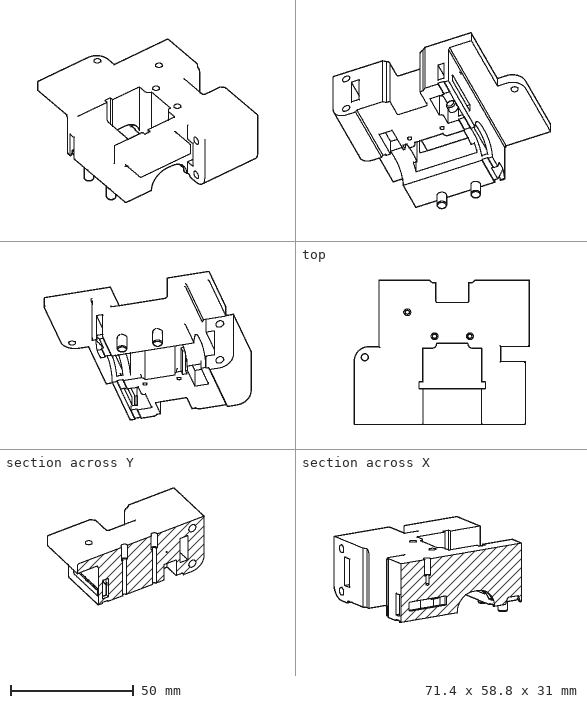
import cadquery as cq

LENGTH = 71.35
DEPTH = 58.8
HEIGHT = 31.0
PLATE_THICKNESS = 5
EDGE_ROUNDING = 0.5
CORNER_FILLET = 1.0
FLARE_DROP = 1.0
FLARE_RUN = 0.5
FLARE_RADIUS = 1.3

BODY_LEFT = 20.2
BODY_RIGHT = 59.7
BODY_HEIGHT = 25
BODY_CENTER = (BODY_LEFT + BODY_RIGHT) / 2

WIDE_PLATE_END = 31.75
WIDE_PLATE_RADIUS = 6.0
REAR_PLATE_LEFT = 10.05
FRONT_PLATE_RIGHT = 69.8
SIDE_SLOT_START = 25.75

BLOCK_HEIGHT = 26.0
BLOCK_RADIUS = 6.0
BLOCK_FOOT_LEFT = 61.35
BLOCK_FOOT_RUN = 0.6
BLOCK_HOLE_DIAMETER = 3.2
BLOCK_HOLE_X = 65.5
BLOCK_HOLE_INSET = 4.0
BLOCK_WINDOW_RIGHT = 63.2
BLOCK_WINDOW_HEIGHT = 12.0

OPENING_WIDTH = 24.0
OPENING_START = 14.6
OPENING_END = 31.05
OPENING_BAY_WIDTH = 12.6
OPENING_BAY_DEPTH = 2.0
EAR_WIDTH = 27.05
EAR_LENGTH = 2.8
RECESS_DEPTH = 10
RELIEF_LEFT = 49.4
RELIEF_WIDTH = 1.8
RELIEF_LENGTH = 2.5

NOTCH_WIDTH = 13.3
NOTCH_START = 49.7
NOTCH_CORNER_RADIUS = 0.5
NOTCH_ROUNDING = 2.0
NOTCH_MOUTH_WIDTH = 18.7
NOTCH_MOUTH_DEPTH = 1.0
NOTCH_MOUTH_SLOPE = 1.2
SELECTION_MARGIN = 0.1

ARCH_CENTER_Y = 22.3
ARCH_WIDTH = 17.85
ARCH_RADIUS = 7.7
ARCH_TOP = 17.1

CHANNEL_LEFT = 22.2
CHANNEL_WIDTH = 2.65
CHANNEL_TOP = 13.4
CHANNEL_BOTTOM = 22.5
CHANNEL_GROOVE_TOP = 24.5
CHANNEL_MOUTH_LENGTH = 1.15
CAVITY_START = 37.4
CAVITY_STEP_Y = 42.9
CAVITY_END = 52.65
CAVITY_SHALLOW_RIGHT = 29.55
CAVITY_DEEP_RIGHT = 31.05
WINDOW_START = 36.75
WINDOW_END = 54.7
WINDOW_TOP = 17.05
WINDOW_HEIGHT = 3.65
WINDOW_CORNER_RADIUS = 0.7
PEG_X = 27.1
PEG_DEPTH = 17.2
PEG_LENGTH = 3.3

RIGHT_CAVITY_RIGHT = 57.7
RIGHT_CAVITY_END = 42.8

RAMP_CENTER_Y = 4.3
RAMP_BASE_LENGTH = 7.2
RAMP_TOP_LENGTH = 3.7
RAMP_HEIGHT = 4.0
RAMP_RUN = 3.3

PIN_DIAMETER = 4.0
PIN_TIP_DIAMETER = 3.5
PIN_SPACING = 15
SCREW_HEAD_DIAMETER = 2.8
SCREW_HEAD_DEPTH = 7.0
SCREW_DIAMETER = 1.65
SCREW_SPACING = 14.4
SCREW_Y = 35.95
BLIND_SCREW_POSITION = (21.7, 45.7)
BLIND_SCREW_DEPTH = 10.7
SCREW_POINT_LENGTH = 0.85
PLATE_HOLE_DIAMETER = 2.8
PLATE_HOLE_POSITION = (4.35, 27.4)


def box(x0, x1, y0, y1, top, bottom):
    """Box between two X and two Y positions, with depths measured down from the top face."""
    return (
        cq.Workplane("XY", origin=((x0 + x1) / 2, (y0 + y1) / 2, -bottom))
        .rect(x1 - x0, y1 - y0)
        .extrude(bottom - top)
    )


def centered_box(width, y0, y1, top, bottom):
    """Box centred on the body along X."""
    return box(BODY_CENTER - width / 2, BODY_CENTER + width / 2, y0, y1, top, bottom)


def drill(diameter, position, top, bottom):
    """Vertical cylinder between two depths."""
    return cq.Workplane("XY", origin=(*position, -bottom)).circle(diameter / 2).extrude(bottom - top)


def make_plate():
    front = box(0, FRONT_PLATE_RIGHT, 0, SIDE_SLOT_START, 0, PLATE_THICKNESS)
    left = box(0, BODY_RIGHT, 0, WIDE_PLATE_END, 0, PLATE_THICKNESS)
    left = left.edges("|Z and <X and >Y").fillet(WIDE_PLATE_RADIUS)
    rear = box(REAR_PLATE_LEFT, LENGTH, WIDE_PLATE_END, DEPTH, 0, PLATE_THICKNESS)
    return left.union(front).union(rear)


def make_block():
    """Deep block on the right rear, with a rounded lower outer corner."""
    return (
        cq.Workplane("XZ", origin=(0, DEPTH, 0))
        .moveTo(BODY_RIGHT - CORNER_FILLET, 0)
        .lineTo(LENGTH, 0)
        .lineTo(LENGTH, BLOCK_RADIUS - BLOCK_HEIGHT)
        .radiusArc((LENGTH - BLOCK_RADIUS, -BLOCK_HEIGHT), BLOCK_RADIUS)
        .lineTo(BLOCK_FOOT_LEFT, -BLOCK_HEIGHT)
        .lineTo(BLOCK_FOOT_LEFT - BLOCK_FOOT_RUN, -BODY_HEIGHT)
        .lineTo(BODY_RIGHT - CORNER_FILLET, -BODY_HEIGHT)
        .close()
        .extrude(DEPTH - WIDE_PLATE_END)
    )


def make_wall_flares():
    """Small concave flares between the plate underside and the outer body walls."""
    spans = ((BODY_LEFT, -1, DEPTH), (BODY_RIGHT, 1, SIDE_SLOT_START))
    flares = cq.Workplane("XY")
    for wall_x, outward, length in spans:
        wedge = (
            cq.Workplane("XZ", origin=(0, length, 0))
            .moveTo(wall_x, -PLATE_THICKNESS)
            .lineTo(wall_x + outward * FLARE_RUN, -PLATE_THICKNESS)
            .radiusArc((wall_x, -PLATE_THICKNESS - FLARE_DROP), outward * FLARE_RADIUS)
            .close()
            .extrude(length)
        )
        flares = flares.union(wedge)
    return flares


def make_recess():
    recess = centered_box(OPENING_WIDTH, 0, OPENING_START, 0, RECESS_DEPTH)
    return recess.edges("|Y and <Z").fillet(CORNER_FILLET)


def make_opening():
    """Stepped through opening whose rear bay has convex rounded corners."""
    opening_rear = OPENING_END + OPENING_BAY_DEPTH
    flared_width = OPENING_BAY_WIDTH + 2 * OPENING_BAY_DEPTH
    rounded_bay = centered_box(flared_width, OPENING_END, opening_rear, 0, BODY_HEIGHT)
    for side in (-1, 1):
        center = (BODY_CENTER + side * flared_width / 2, opening_rear)
        rounded_bay = rounded_bay.cut(drill(2 * OPENING_BAY_DEPTH, center, 0, BODY_HEIGHT))
    main = centered_box(OPENING_WIDTH, OPENING_START, OPENING_END, 0, BODY_HEIGHT)
    ears = centered_box(EAR_WIDTH, OPENING_START, OPENING_START + EAR_LENGTH, 0, BODY_HEIGHT)
    relief = box(RELIEF_LEFT, RELIEF_LEFT + RELIEF_WIDTH, OPENING_END, OPENING_END + RELIEF_LENGTH,
                 CHANNEL_TOP, BODY_HEIGHT)
    return main.union(ears).union(rounded_bay).union(relief)


def cut_rear_notch(solid):
    """Full-height notch with a rounded top rim and a wider, slanted mouth."""
    mouth_y = DEPTH - NOTCH_MOUTH_DEPTH
    notch = centered_box(NOTCH_WIDTH, NOTCH_START, DEPTH, 0, BODY_HEIGHT)
    notch = notch.edges("|Z and <Y").fillet(NOTCH_CORNER_RADIUS)
    solid = solid.cut(notch)
    rim = cq.selectors.BoxSelector(
        (BODY_CENTER - NOTCH_WIDTH / 2 - SELECTION_MARGIN, NOTCH_START - SELECTION_MARGIN, -SELECTION_MARGIN),
        (BODY_CENTER + NOTCH_WIDTH / 2 + SELECTION_MARGIN, DEPTH - SELECTION_MARGIN, SELECTION_MARGIN),
    )
    solid = solid.edges(rim).fillet(NOTCH_ROUNDING)
    outer = NOTCH_MOUTH_WIDTH / 2
    inner = outer - NOTCH_MOUTH_SLOPE
    mouth = (
        cq.Workplane("XY", origin=(BODY_CENTER, 0, -BODY_HEIGHT))
        .polyline([(-outer, DEPTH), (-inner, mouth_y), (inner, mouth_y), (outer, DEPTH)])
        .close()
        .extrude(BODY_HEIGHT)
    )
    return solid.cut(mouth)


def make_arch():
    arch = box(BODY_LEFT, BODY_RIGHT, ARCH_CENTER_Y - ARCH_WIDTH / 2, ARCH_CENTER_Y + ARCH_WIDTH / 2,
               ARCH_TOP, BODY_HEIGHT)
    return arch.edges("|X and >Z").fillet(ARCH_RADIUS)


def make_channel():
    """Through channel over a thin floor, open downwards only at the front face."""
    right = CHANNEL_LEFT + CHANNEL_WIDTH
    through = box(CHANNEL_LEFT, right, 0, DEPTH, CHANNEL_TOP, CHANNEL_BOTTOM)
    groove = box(CHANNEL_LEFT, right, 0, DEPTH, CHANNEL_GROOVE_TOP, BODY_HEIGHT)
    mouth = box(CHANNEL_LEFT, right, 0, CHANNEL_MOUTH_LENGTH, CHANNEL_TOP, BODY_HEIGHT)
    return through.union(groove).union(mouth)


def make_cavity():
    """Stepped cavity, open below, with a peg left standing on its front wall."""
    shallow = box(CHANNEL_LEFT, CAVITY_SHALLOW_RIGHT, CAVITY_START, CAVITY_END, CHANNEL_TOP, BODY_HEIGHT)
    deep = box(CHANNEL_LEFT, CAVITY_DEEP_RIGHT, CAVITY_STEP_Y, CAVITY_END, CHANNEL_TOP, BODY_HEIGHT)
    step = box(CAVITY_SHALLOW_RIGHT, CAVITY_SHALLOW_RIGHT + CORNER_FILLET, CAVITY_STEP_Y - CORNER_FILLET,
               CAVITY_STEP_Y, CHANNEL_TOP, BODY_HEIGHT)
    step_center = (CAVITY_SHALLOW_RIGHT + CORNER_FILLET, CAVITY_STEP_Y - CORNER_FILLET)
    step = step.cut(drill(2 * CORNER_FILLET, step_center, CHANNEL_TOP, BODY_HEIGHT))
    peg = (
        cq.Workplane("XZ", origin=(PEG_X, CAVITY_START, -PEG_DEPTH))
        .circle(PIN_DIAMETER / 2)
        .extrude(-PEG_LENGTH)
        .faces(">Y")
        .chamfer(EDGE_ROUNDING)
    )
    return shallow.union(deep).union(step).cut(peg)


def make_right_cavity():
    """Pocket behind the arch on the right, open to the arch and below."""
    left = BODY_CENTER + OPENING_WIDTH / 2
    return box(left, RIGHT_CAVITY_RIGHT, OPENING_END, RIGHT_CAVITY_END, ARCH_TOP, BODY_HEIGHT)


def make_window():
    window = box(BODY_LEFT, CHANNEL_LEFT, WINDOW_START, WINDOW_END, WINDOW_TOP, WINDOW_TOP + WINDOW_HEIGHT)
    return window.edges("|X and >Y").fillet(WINDOW_CORNER_RADIUS)


def make_ramp():
    """Trapezoid notch whose roof slopes steeply down into the wall."""
    base = RAMP_BASE_LENGTH / 2
    top = RAMP_TOP_LENGTH / 2
    trapezoid = (
        cq.Workplane("YZ", origin=(BODY_LEFT, RAMP_CENTER_Y, -BODY_HEIGHT))
        .polyline([(-base, 0), (-top, RAMP_HEIGHT), (top, RAMP_HEIGHT), (base, 0)])
        .close()
        .extrude(RAMP_RUN)
    )
    wedge = (
        cq.Workplane("XZ", origin=(BODY_LEFT, RAMP_CENTER_Y + base, -BODY_HEIGHT))
        .polyline([(0, 0), (0, RAMP_HEIGHT), (RAMP_RUN, 0)])
        .close()
        .extrude(RAMP_BASE_LENGTH)
    )
    return trapezoid.intersect(wedge)


def make_pin(x):
    radius = PIN_DIAMETER / 2
    pin = drill(PIN_DIAMETER, (x, radius), RECESS_DEPTH + CORNER_FILLET, HEIGHT)
    return pin.faces("<Z").chamfer(EDGE_ROUNDING, (PIN_DIAMETER - PIN_TIP_DIAMETER) / 2)


def make_screw_hole(position, depth, pointed=False):
    head = drill(SCREW_HEAD_DIAMETER, position, 0, SCREW_HEAD_DEPTH)
    shank = drill(SCREW_DIAMETER, position, 0, depth)
    if pointed:
        point = cq.Solid.makeCone(SCREW_DIAMETER / 2, 0, SCREW_POINT_LENGTH, (*position, -depth), (0, 0, -1))
        shank = shank.union(cq.Workplane(point))
    return head.union(shank)


def make_block_openings():
    window_top = (BLOCK_HEIGHT - BLOCK_WINDOW_HEIGHT) / 2
    openings = box(BODY_RIGHT, BLOCK_WINDOW_RIGHT, WIDE_PLATE_END, DEPTH,
                   window_top, window_top + BLOCK_WINDOW_HEIGHT)
    for depth in (BLOCK_HOLE_INSET, BLOCK_HEIGHT - BLOCK_HOLE_INSET):
        hole = (
            cq.Workplane("XZ", origin=(BLOCK_HOLE_X, DEPTH, -depth))
            .circle(BLOCK_HOLE_DIAMETER / 2)
            .extrude(DEPTH - WIDE_PLATE_END)
        )
        openings = openings.union(hole)
    return openings


result = make_plate().union(box(BODY_LEFT, BODY_RIGHT, 0, DEPTH, 0, BODY_HEIGHT))
result = result.union(make_block()).union(make_wall_flares())
result = result.faces(">Z").edges("not (<Y or >Y)").fillet(EDGE_ROUNDING)
result = result.cut(make_recess())
result = result.faces("<Y").edges().fillet(EDGE_ROUNDING)

result = result.cut(make_opening())
result = cut_rear_notch(result)
result = result.cut(make_arch())
result = result.cut(make_channel()).cut(make_cavity()).cut(make_window())
result = result.cut(make_right_cavity())
result = result.cut(make_ramp())
result = result.cut(make_block_openings())

for side in (-1, 1):
    screw_x = BODY_CENTER + side * SCREW_SPACING / 2
    result = result.cut(make_screw_hole((screw_x, SCREW_Y), BODY_HEIGHT))
    result = result.union(make_pin(BODY_CENTER + side * PIN_SPACING / 2))
result = result.cut(make_screw_hole(BLIND_SCREW_POSITION, BLIND_SCREW_DEPTH, pointed=True))
result = result.cut(drill(PLATE_HOLE_DIAMETER, PLATE_HOLE_POSITION, 0, PLATE_THICKNESS))